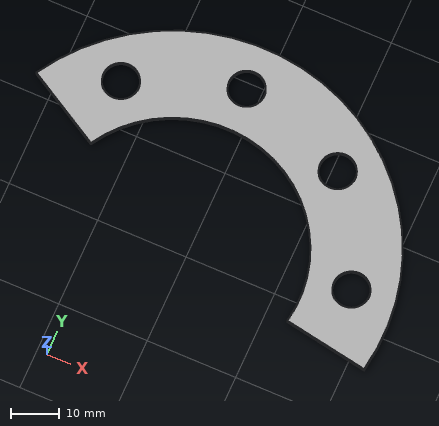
import cadquery as cq
import math

overall_length = 88.9
thickness = 1.0
start_angle = -10.0
end_angle = 150.0

outer_radius = overall_length / (1 - math.cos(math.radians(end_angle)))
inner_radius = 28.5

hole_diameter = 7.9
hole_circle_radius = (outer_radius + inner_radius) / 2
first_hole_angle = 10.0
hole_spacing_angle = 40.0
hole_count = 4


def polar_point(radius, angle):
    """Point in the XY plane at a radius and an angle in degrees."""
    return radius * math.cos(math.radians(angle)), radius * math.sin(math.radians(angle))


def ring_segment():
    """Plate bounded by two concentric arcs and two radial ends."""
    middle_angle = (start_angle + end_angle) / 2
    return (
        cq.Workplane("XY")
        .moveTo(*polar_point(outer_radius, start_angle))
        .threePointArc(polar_point(outer_radius, middle_angle), polar_point(outer_radius, end_angle))
        .lineTo(*polar_point(inner_radius, end_angle))
        .threePointArc(polar_point(inner_radius, middle_angle), polar_point(inner_radius, start_angle))
        .close()
        .extrude(thickness)
    )


def hole_cutters():
    """Cylinders for the through holes, evenly spaced along the middle of the band."""
    centres = [
        polar_point(hole_circle_radius, first_hole_angle + index * hole_spacing_angle)
        for index in range(hole_count)
    ]
    return cq.Workplane("XY").pushPoints(centres).circle(hole_diameter / 2).extrude(thickness)


result = ring_segment().cut(hole_cutters())